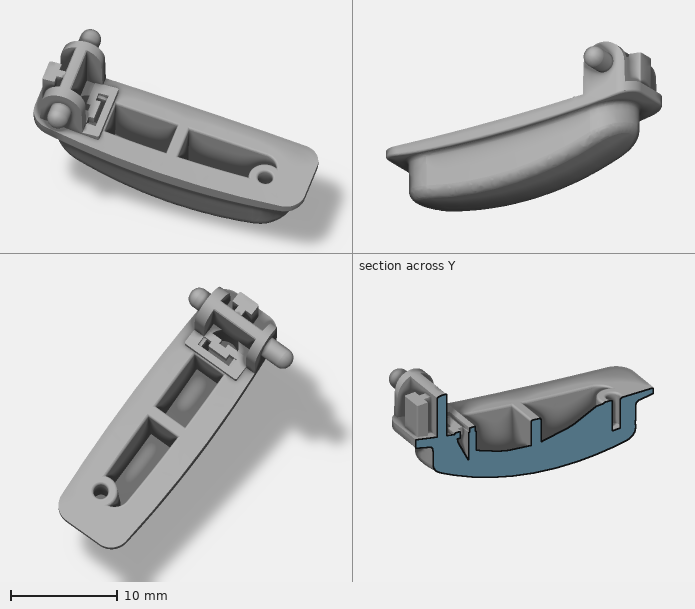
import cadquery as cq
import math

LENGTH = 26.75
FLANGE_END_HALF_WIDTH = 3.65
FLANGE_MID_HALF_WIDTH = 4.28
FLANGE_CORNER_RADIUS = 1.87
FLANGE_TOP_ARC = [(0, 8.55), (LENGTH / 2, 6.3), (LENGTH, 5.35)]
FLANGE_BOTTOM_ARC = [(0, 7.57), (LENGTH / 2, 4.98), (22.47, 4.4)]
FLANGE_LIP_Z = 4.68
FLANGE_TOP_MIDDLE = (LENGTH / 2, 0, FLANGE_TOP_ARC[1][1])
FLANGE_EDGE_RADIUS = 0.21

BODY_START_X = 4.85
BODY_END_X = 21.94
BODY_END_RADIUS = 3.18
BODY_MID_HALF_WIDTH = 3.35
BODY_DRAFT = 1.0
BELLY_LOW_X = 18.2
BELLY_RADIUS = 32.1
BODY_BOTTOM_RADIUS = 1.02
BODY_NECK_RADIUS = 0.32

POCKET_TOP_Z = 9.1
POCKET_FLOOR = 0.8
POCKET_RIM_RADIUS = 0.21
POCKET_WALL = 1.45
POCKET_DRAFT = 3.5
POCKET_END_X = 21.75
MIDDLE_POCKET_X = (6.87, 12.95)
REAR_POCKET_X = (14.12, LENGTH)
FRONT_POCKET_X = (0, 5.95)
FRONT_POCKET_WALL = 1.58
FRONT_POCKET_DRAFT = 1.0

BOSS_X = 22.55
BOSS_Y = -1.02
BOSS_TOP_RADIUS = 1.36
BOSS_HOLE_DIAMETER = 1.4
BOSS_HOLE_DEPTH = 3.2

PIN_X = 3.0
PIN_DIAMETER = 2.0
PIN_START_Y = -5.0
PIN_END_Y = 6.75
PIN_TIP_RADIUS = 0.9
TOP_Z = 12.5
LUG_RADIUS = 2.03
LUG_BASE_HALF_WIDTH = 2.1
PIN_Z = TOP_Z - LUG_RADIUS
HINGE_BASE_Z = 7.44
NEAR_LUG_Y = (-3.05, -1.93)
FAR_LUG_INNER_Y = 3.0
WEB_X = (2.43, 3.55)
WEB_CHAMFER = 0.15

STOP_X = (0.48, 1.69)
STOP_HALF_WIDTH = 1.12
STOP_STEM_HALF_WIDTH = 0.4
STOP_BASE_Z = 7.75
STOP_TOP_Z = 11.88
STOP_CORNER_RADIUS = 0.15

PAD_X = (4.35, 6.71)
PAD_HALF_WIDTH = 3.05
PAD_BASE_Z = 7.0
PAD_TOP_Z = 7.8
PAD_CORNER_RADIUS = 0.15
PAD_NOTCH_DEPTH = 0.43
PAD_NOTCH_HALF_WIDTH = 0.37
WINDOW_X = (5.08, 6.07)
WINDOW_HALF_WIDTH = 1.93
WINDOW_TONGUE_X = 5.6
WINDOW_TONGUE_HALF_WIDTH = 1.05


def box(x_range, y_range, z_range):
    """Box spanning the three given (low, high) ranges."""
    size = [high - low for low, high in (x_range, y_range, z_range)]
    corner = (x_range[0], y_range[0], z_range[0])
    return cq.Workplane("XY").box(*size, centered=False).translate(corner)


def cylinder(x, y, z, radius):
    """Horizontal circle ready to be extruded."""
    return cq.Workplane("XY", origin=(x, y, z)).circle(radius)


def side_profile(sketch):
    """Extrude an XZ profile across more than the full width."""
    return sketch.extrude(2 * FLANGE_MID_HALF_WIDTH, both=True)


def flange_plan(height):
    """Flange outline with bowed sides and rounded corners."""
    plan = (
        cq.Workplane("XY")
        .moveTo(0, -FLANGE_END_HALF_WIDTH)
        .threePointArc((LENGTH / 2, -FLANGE_MID_HALF_WIDTH), (LENGTH, -FLANGE_END_HALF_WIDTH))
        .lineTo(LENGTH, FLANGE_END_HALF_WIDTH)
        .threePointArc((LENGTH / 2, FLANGE_MID_HALF_WIDTH), (0, FLANGE_END_HALF_WIDTH))
        .close()
        .extrude(height)
    )
    return plan.edges("|Z").fillet(FLANGE_CORNER_RADIUS)


def flange():
    profile = (
        cq.Workplane("XZ")
        .moveTo(*FLANGE_BOTTOM_ARC[0])
        .threePointArc(*FLANGE_BOTTOM_ARC[1:])
        .tangentArcPoint((LENGTH, FLANGE_LIP_Z), relative=False)
        .lineTo(*FLANGE_TOP_ARC[2])
        .threePointArc(FLANGE_TOP_ARC[1], FLANGE_TOP_ARC[0])
        .close()
    )
    plate = flange_plan(TOP_Z).intersect(side_profile(profile))
    bottom_mid_x, bottom_mid_z = FLANGE_BOTTOM_ARC[1]
    side_point = (bottom_mid_x, -FLANGE_MID_HALF_WIDTH, bottom_mid_z)
    side_edge = plate.edges(cq.selectors.NearestToPointSelector(side_point))
    return side_edge.fillet(FLANGE_EDGE_RADIUS)


def body_outline(inset, z, end_x=BODY_END_X):
    """Long outline with bowed sides running tangent into round ends, shrunk by inset."""
    mid_x = (BODY_START_X + end_x) / 2
    half_span = (end_x - BODY_START_X) / 2
    bow = BODY_MID_HALF_WIDTH - BODY_END_RADIUS
    bow_radius = (half_span**2 + BODY_MID_HALF_WIDTH**2 - BODY_END_RADIUS**2) / (2 * bow)
    lean = math.asin(half_span / (bow_radius - BODY_END_RADIUS))

    mid_y = BODY_MID_HALF_WIDTH - inset
    end_radius = BODY_END_RADIUS - inset
    tangent_start_x = BODY_START_X - end_radius * math.sin(lean)
    tangent_end_x = end_x + end_radius * math.sin(lean)
    tangent_y = end_radius * math.cos(lean)
    return (
        cq.Workplane("XY", origin=(0, 0, z))
        .moveTo(tangent_start_x, -tangent_y)
        .threePointArc((mid_x, -mid_y), (tangent_end_x, -tangent_y))
        .threePointArc((end_x + end_radius, 0), (tangent_end_x, tangent_y))
        .threePointArc((mid_x, mid_y), (tangent_start_x, tangent_y))
        .threePointArc((BODY_START_X - end_radius, 0), (tangent_start_x, -tangent_y))
        .close()
    )


def above_belly(offset):
    """Everything above the belly arc, raised by offset."""
    radius = BELLY_RADIUS - offset

    def belly_point(x):
        return (x, BELLY_RADIUS - math.sqrt(radius**2 - (x - BELLY_LOW_X) ** 2))

    profile = (
        cq.Workplane("XZ")
        .moveTo(*belly_point(0))
        .threePointArc((BELLY_LOW_X, offset), belly_point(LENGTH))
        .lineTo(LENGTH, TOP_Z)
        .lineTo(0, TOP_Z)
        .close()
    )
    return side_profile(profile)


def below_flange_top():
    """Everything below the top surface of the flange."""
    profile = (
        cq.Workplane("XZ")
        .moveTo(*FLANGE_TOP_ARC[0])
        .threePointArc(*FLANGE_TOP_ARC[1:])
        .lineTo(LENGTH, 0)
        .lineTo(0, 0)
        .close()
    )
    return side_profile(profile)


def body():
    shell = body_outline(0, 0).extrude(TOP_Z, taper=-BODY_DRAFT)
    shell = shell.intersect(above_belly(0)).intersect(below_flange_top())
    underside = shell.faces(cq.selectors.NearestToPointSelector((BELLY_LOW_X, 0, 0)))
    return underside.edges().fillet(BODY_BOTTOM_RADIUS)


def pocket(x_range, wall, draft):
    """Drafted pocket over part of the length, with its floor following the belly."""
    space = body_outline(wall, POCKET_TOP_Z, POCKET_END_X).extrude(-POCKET_TOP_Z, taper=draft)
    full_width = (-FLANGE_MID_HALF_WIDTH, FLANGE_MID_HALF_WIDTH)
    return space.intersect(above_belly(POCKET_FLOOR)).intersect(box(x_range, full_width, (0, TOP_Z)))


def rear_pocket():
    """Pocket that wraps around the tapered screw boss."""
    boss = cylinder(BOSS_X, BOSS_Y, POCKET_TOP_Z, BOSS_TOP_RADIUS)
    boss = boss.extrude(-POCKET_TOP_Z, taper=-POCKET_DRAFT)
    return pocket(REAR_POCKET_X, POCKET_WALL, POCKET_DRAFT).cut(boss)


def handle():
    """Flange and body in one, hollowed, with softened rims and neck."""
    part = flange().union(body())
    neck_point = (BODY_START_X - BODY_END_RADIUS, 0, FLANGE_BOTTOM_ARC[0][1])
    neck_edge = part.edges(cq.selectors.NearestToPointSelector(neck_point))
    part = neck_edge.fillet(BODY_NECK_RADIUS)

    screw_hole = cylinder(BOSS_X, BOSS_Y, TOP_Z, BOSS_HOLE_DIAMETER / 2)
    hole_bottom_z = FLANGE_TOP_ARC[2][1] - BOSS_HOLE_DEPTH
    part = part.cut(screw_hole.extrude(hole_bottom_z - TOP_Z))
    part = part.cut(pocket(MIDDLE_POCKET_X, POCKET_WALL, POCKET_DRAFT)).cut(rear_pocket())

    top_face = part.faces(cq.selectors.NearestToPointSelector(FLANGE_TOP_MIDDLE))
    rims = [edge for wire in top_face.val().innerWires() for edge in wire.Edges()]
    part = part.newObject(rims).fillet(POCKET_RIM_RADIUS)
    return part.cut(pocket(FRONT_POCKET_X, FRONT_POCKET_WALL, FRONT_POCKET_DRAFT))


def pins():
    """One pin, rounded at both tips and open between the lugs."""
    length = PIN_END_Y - PIN_START_Y
    bar = cq.Workplane("XZ", origin=(PIN_X, PIN_END_Y, PIN_Z)).circle(PIN_DIAMETER / 2).extrude(length)
    bar = bar.edges().fillet(PIN_TIP_RADIUS)
    return bar.cut(box((0, LENGTH), (NEAR_LUG_Y[1], FAR_LUG_INNER_Y), (0, TOP_Z)))


def hinge():
    """Two lugs and the web between them, kept inside the flange outline."""
    ear = (
        cq.Workplane("XZ")
        .moveTo(PIN_X - LUG_BASE_HALF_WIDTH, HINGE_BASE_Z)
        .lineTo(PIN_X - LUG_RADIUS, PIN_Z)
        .threePointArc((PIN_X, TOP_Z), (PIN_X + LUG_RADIUS, PIN_Z))
        .lineTo(PIN_X + LUG_BASE_HALF_WIDTH, HINGE_BASE_Z)
        .close()
    )
    web = box(WEB_X, (NEAR_LUG_Y[0], FAR_LUG_INNER_Y), (HINGE_BASE_Z, TOP_Z))
    web = web.faces(">Z").edges("|Y").chamfer(WEB_CHAMFER)
    far_lug_y = (FAR_LUG_INNER_Y, FLANGE_MID_HALF_WIDTH)
    lug_zone = box((0, LENGTH), NEAR_LUG_Y, (0, TOP_Z))
    lug_zone = lug_zone.union(box((0, LENGTH), far_lug_y, (0, TOP_Z)))

    ear_block = side_profile(ear).intersect(flange_plan(TOP_Z))
    lugs = ear_block.intersect(lug_zone)
    return lugs.union(ear_block.intersect(web))


def stop():
    """T-shaped post whose stem reaches the web."""
    heights = (STOP_BASE_Z, STOP_TOP_Z)
    head = box(STOP_X, (-STOP_HALF_WIDTH, STOP_HALF_WIDTH), heights)
    head = head.edges("|Z and <X").fillet(STOP_CORNER_RADIUS)
    stem_x = (STOP_X[1], WEB_X[1])
    stem = box(stem_x, (-STOP_STEM_HALF_WIDTH, STOP_STEM_HALF_WIDTH), heights)
    return head.union(stem)


def pad():
    """Plate bridging the first pocket, with a front notch and a C-shaped window."""
    heights = (PAD_BASE_Z, PAD_TOP_Z)
    plate = box(PAD_X, (-PAD_HALF_WIDTH, PAD_HALF_WIDTH), heights)
    plate = plate.edges("|Z and >X").fillet(PAD_CORNER_RADIUS)
    notch_x = (PAD_X[0], PAD_X[0] + PAD_NOTCH_DEPTH)
    notch = box(notch_x, (-PAD_NOTCH_HALF_WIDTH, PAD_NOTCH_HALF_WIDTH), heights)
    window = box(WINDOW_X, (-WINDOW_HALF_WIDTH, WINDOW_HALF_WIDTH), heights)
    tongue_x = (WINDOW_X[0], WINDOW_TONGUE_X)
    tongue = box(tongue_x, (-WINDOW_TONGUE_HALF_WIDTH, WINDOW_TONGUE_HALF_WIDTH), heights)
    return plate.cut(notch).cut(window.cut(tongue))


result = handle().union(hinge()).union(pins()).union(stop()).union(pad())